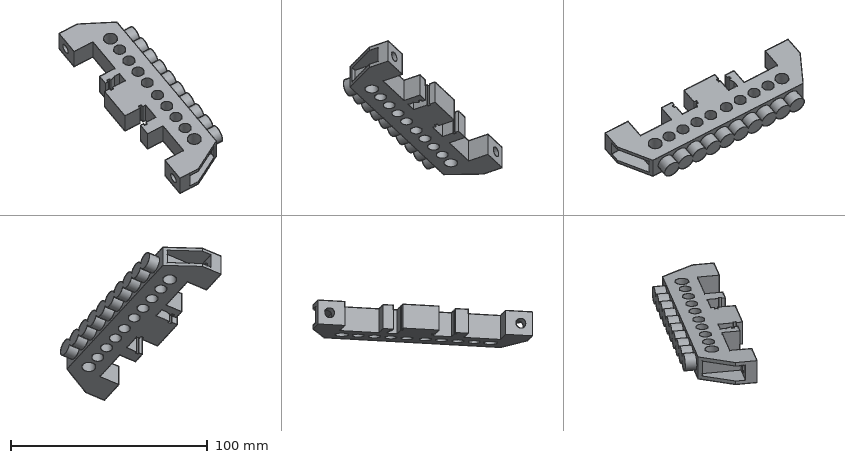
import cadquery as cq

length = 112.0
thickness = 12.5
body_depth = 29.9
screw_height = 5.9
mid_x = length / 2
mid_z = thickness / 2

shoulder_run = 10.0
shoulder_y = -17.5
underside_y = -17.2
foot_y = -28.7
hook_y = -26.7
block_y = -body_depth

foot_width = 14.0
left_hook_start = 34.5
left_hook_root = 38.6
left_hook_end = 39.9
left_hook_ramp_y = -20.2
block_start = 44.0
block_end = 63.0
right_hook_start = 72.4
right_hook_end = 79.0

notch_height = 1.6
hook_notch_height = 1.5
hook_notch_y = -24.8
block_left_notch_y = -26.7
block_right_notch_y = -20.6
shallow_notch = 1.0
deep_notch = 1.5

pitch = 8.5
holes_per_group = 5
group_gap = 9.5
wire_hole_diameter = 6.0
end_hole_diameter = 7.0
wire_hole_y = -8.6

screw_count = 2 * holes_per_group
screw_diameter = 9.0

mount_inset = 6.0
mount_diameter = 5.0

pocket_wall = 2.0
pocket_low_y = -22.6
pocket_depth = 11.5


def box(x_range, y_range, z_range):
    """Box spanning the given (low, high) range on each axis."""
    sizes = [high - low for low, high in (x_range, y_range, z_range)]
    corner = (x_range[0], y_range[0], z_range[0])
    return cq.Workplane("XY").box(*sizes, centered=False).translate(corner)


def notch(x_low, width, y_low, height):
    """Small rectangular notch through the full thickness."""
    return box((x_low, x_low + width), (y_low, y_low + height), (0, thickness))


def make_body():
    outline = [
        (shoulder_run, 0),
        (length - shoulder_run, 0),
        (length, shoulder_y),
        (length, foot_y),
        (length - foot_width, foot_y),
        (length - foot_width, underside_y),
        (right_hook_end, underside_y),
        (right_hook_end, hook_y),
        (right_hook_start, hook_y),
        (right_hook_start, underside_y),
        (block_end, underside_y),
        (block_end, block_y),
        (block_start, block_y),
        (block_start, underside_y),
        (left_hook_root, underside_y),
        (left_hook_root, left_hook_ramp_y),
        (left_hook_end, hook_notch_y + hook_notch_height),
        (left_hook_end, hook_y),
        (left_hook_start, hook_y),
        (left_hook_start, underside_y),
        (foot_width, underside_y),
        (foot_width, foot_y),
        (0, foot_y),
        (0, shoulder_y),
    ]
    return cq.Workplane("XY").polyline(outline).close().extrude(thickness)


def cut_notches(body):
    left_notch_width = left_hook_end - left_hook_root
    body = body.cut(notch(left_hook_root, left_notch_width, hook_notch_y, hook_notch_height))
    body = body.cut(notch(right_hook_start, shallow_notch, hook_notch_y, hook_notch_height))
    body = body.cut(notch(block_start, shallow_notch, block_left_notch_y, notch_height))
    return body.cut(notch(block_end - deep_notch, deep_notch, block_right_notch_y, notch_height))


def cut_end_pockets(body):
    y_range = (pocket_low_y, -pocket_wall)
    z_range = (pocket_wall, thickness - pocket_wall)
    for x_range in ((0, pocket_depth), (length - pocket_depth, length)):
        body = body.cut(box(x_range, y_range, z_range))
    return body


def cut_wire_holes(body):
    for side in (-1, 1):
        for index in range(holes_per_group):
            x = mid_x + side * (group_gap / 2 + index * pitch)
            is_end_hole = index == holes_per_group - 1
            diameter = end_hole_diameter if is_end_hole else wire_hole_diameter
            hole = cq.Workplane("XY").center(x, wire_hole_y).circle(diameter / 2).extrude(thickness)
            body = body.cut(hole)
    return body


def cut_mounting_holes(body):
    for x in (mount_inset, length - mount_inset):
        hole = cq.Workplane("XZ").center(x, mid_z).circle(mount_diameter / 2).extrude(body_depth)
        body = body.cut(hole)
    return body


def add_screw_bosses(body):
    first_x = mid_x - pitch * (screw_count - 1) / 2
    for index in range(screw_count):
        x = first_x + index * pitch
        boss = cq.Workplane("XZ").center(x, mid_z).circle(screw_diameter / 2).extrude(-screw_height)
        body = body.union(boss)
    return body


result = make_body()
result = cut_notches(result)
result = cut_end_pockets(result)
result = cut_wire_holes(result)
result = cut_mounting_holes(result)
result = add_screw_bosses(result)